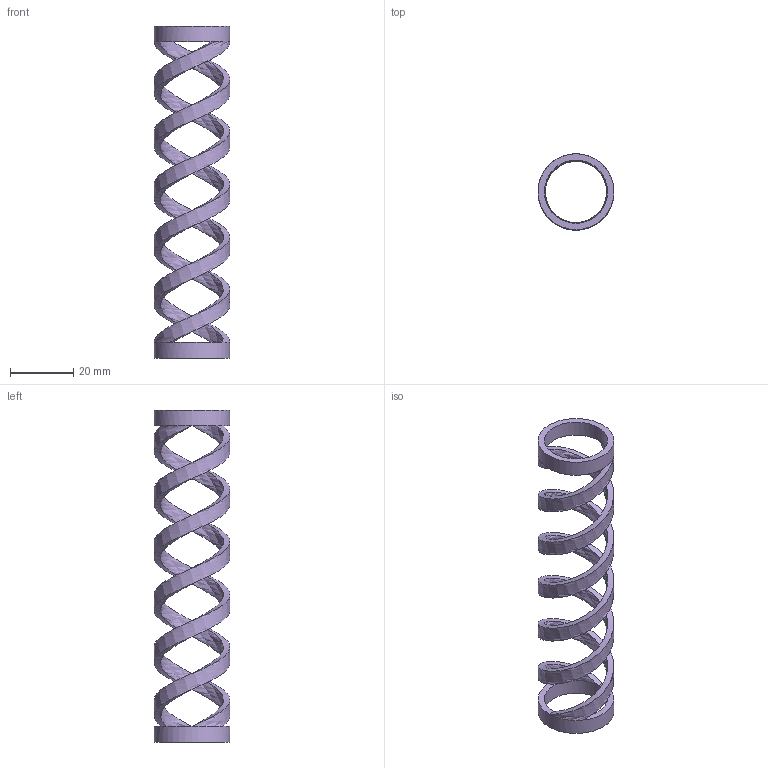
import cadquery as cq
import math

outer_diameter = 24.0
inner_diameter = 20.0
total_height = 105.0
ring_height = 5.0
band_height = 5.0
strand_count = 2
turns = 3.0
start_angle = 0.0

outer_radius = outer_diameter / 2
inner_radius = inner_diameter / 2
pitch = (total_height - band_height) / turns
open_height = total_height - 2 * ring_height
band_angle = 360.0 * band_height / pitch
twist_angle = 360.0 * open_height / pitch
ring_angle = 360.0 * ring_height / pitch


def polar(radius, degrees):
    """Point in the XY plane at a radius and an angle from +X."""
    angle = math.radians(degrees)
    return (radius * math.cos(angle), radius * math.sin(angle))


def end_ring(base_z):
    """Closed ring with its lower face at base_z."""
    return (
        cq.Workplane("XY", origin=(0, 0, base_z))
        .circle(outer_radius)
        .circle(inner_radius)
        .extrude(ring_height)
    )


def strand(angle):
    """Right-handed helical band between the rings, whose lower edge is at this angle at Z = 0.

    A horizontal cut through the band is a ring sector, so twisting that
    sector while extruding it gives the helix.
    """
    last = angle + ring_angle
    first = last - band_angle
    middle = (first + last) / 2
    return (
        cq.Workplane("XY", origin=(0, 0, ring_height))
        .moveTo(*polar(outer_radius, first))
        .threePointArc(polar(outer_radius, middle), polar(outer_radius, last))
        .lineTo(*polar(inner_radius, last))
        .threePointArc(polar(inner_radius, middle), polar(inner_radius, first))
        .close()
        .twistExtrude(open_height, twist_angle)
    )


result = end_ring(0).union(end_ring(total_height - ring_height))
for index in range(strand_count):
    result = result.union(strand(start_angle + index * 360.0 / strand_count))

result = result.solids()